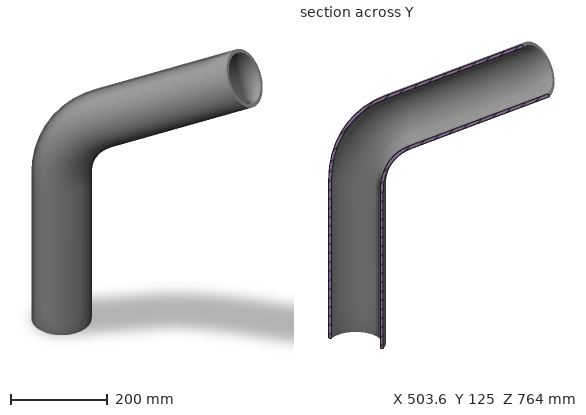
import cadquery as cq
import math

total_height = 764.0
outer_diameter = 125.0
inner_diameter = 110.0
bend_angle = 60.0
bend_radius = 1.5 * outer_diameter

angle = math.radians(bend_angle)
bend_outer_radius = bend_radius + outer_diameter / 2
bend_height = bend_outer_radius * math.sin(angle)
leg_length = (total_height - bend_height) / (1 + math.cos(angle))


def centreline_point(angle_from_start):
    """Point on the bend centreline, as (x, z)."""
    return (
        bend_radius * (1 - math.cos(angle_from_start)),
        leg_length + bend_radius * math.sin(angle_from_start),
    )


bend_end = centreline_point(angle)
leg_end = (
    bend_end[0] + leg_length * math.sin(angle),
    bend_end[1] + leg_length * math.cos(angle),
)
centreline = (
    cq.Workplane("XZ")
    .lineTo(0, leg_length)
    .threePointArc(centreline_point(angle / 2), bend_end)
    .lineTo(*leg_end)
)

result = (
    cq.Workplane("XY")
    .circle(outer_diameter / 2)
    .circle(inner_diameter / 2)
    .sweep(centreline)
)